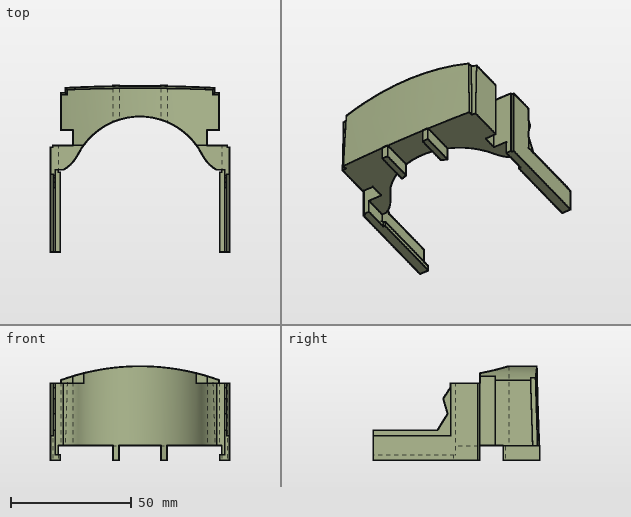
import cadquery as cq
import math

length = 69.2
height = 39.15
half_width = 37.2
body_bottom = 6.1

block_half_width = 32.9
neck_half_width = 27.8
block_front = 50.7
block_back = 66.2
dome_edge_height = 33.35

panel_half_width = 31.1
panel_corner = 68.25
panel_bulge = 0.8
draft_angle = 1.8

wing_back = 44.3
wing_front = 34.1
wing_top = 32.1
wing_notch = (1.0, 0.75)
skirt_inner = 33.9

bore_radius = 28.95
bore_back = 56.25
flare_start = 25.8
flare_end = 31.8

skin_inner = 36.0
web_inner = 35.1
skin_front = 32.2
skin_top = 10.3
web_front = 31.9
web_top = 12.5
web_notches = [(26.65, web_top), (30.9, 19.35), (29.0, 25.6), (web_front, 30.1)]
lip_inner = 33.05
lip_height = 2.4
lip_back = 33.2

foot_inner = 8.6
foot_outer = 11.25
foot_front = block_front


def box(x, y, z):
    """Box spanning the given (low, high) pairs."""
    size = (x[1] - x[0], y[1] - y[0], z[1] - z[0])
    return cq.Workplane("XY").box(*size, centered=False).translate((x[0], y[0], z[0]))


def rear_body():
    rise = height - body_bottom
    lean = rise * math.tan(math.radians(draft_angle))
    block_profile = [
        (block_front, body_bottom),
        (block_back, body_bottom),
        (block_back - lean, height),
        (block_front, height),
    ]
    block = (
        cq.Workplane("YZ").polyline(block_profile).close()
        .extrude(block_half_width, both=True)
    )
    neck = box((-neck_half_width, neck_half_width), (wing_back, block_front), (body_bottom, height))
    panel = (
        cq.Workplane("XY", origin=(0, 0, body_bottom))
        .moveTo(-panel_half_width, block_front)
        .lineTo(panel_half_width, block_front)
        .lineTo(panel_half_width, panel_corner)
        .threePointArc((0, panel_corner + panel_bulge), (-panel_half_width, panel_corner))
        .close()
        .extrude(rise, taper=draft_angle)
    )
    panel = panel.intersect(
        box((-half_width, half_width), ((block_front + block_back) / 2, length), (0, height))
    )
    dome = (
        cq.Workplane("XZ")
        .moveTo(-block_half_width, 0)
        .lineTo(block_half_width, 0)
        .lineTo(block_half_width, dome_edge_height)
        .threePointArc((0, height), (-block_half_width, dome_edge_height))
        .close()
        .extrude(-length)
    )
    return block.union(neck).union(panel).intersect(dome)


def wings():
    body = box((-half_width, half_width), (wing_front, wing_back), (0, wing_top))
    gap = box((-skirt_inner, skirt_inner), (wing_front, wing_back), (0, body_bottom))
    body = body.cut(gap)
    notch_x, notch_y = wing_notch
    for x in (-half_width, half_width - notch_x):
        body = body.cut(box((x, x + notch_x), (wing_back - notch_y, wing_back), (0, wing_top)))
    return body


def bore():
    center_y = bore_back - bore_radius
    flare_y = center_y + math.sqrt(bore_radius**2 - flare_start**2)
    normal_x = -flare_start / bore_radius
    normal_y = (flare_y - center_y) / bore_radius
    chord_x = flare_start - flare_end
    chord_y = wing_front - flare_y
    radius = (chord_x**2 + chord_y**2) / (2 * (chord_x * normal_x + chord_y * normal_y))
    flare_center = (-flare_start + radius * normal_x, flare_y + radius * normal_y)
    start_angle = math.atan2(flare_y - flare_center[1], -flare_start - flare_center[0])
    end_angle = math.atan2(wing_front - flare_center[1], -flare_end - flare_center[0])
    middle = (start_angle + end_angle) / 2
    mid_x = flare_center[0] + radius * math.cos(middle)
    mid_y = flare_center[1] + radius * math.sin(middle)
    return (
        cq.Workplane("XY")
        .moveTo(-flare_end, wing_front)
        .threePointArc((mid_x, mid_y), (-flare_start, flare_y))
        .threePointArc((0, bore_back), (flare_start, flare_y))
        .threePointArc((-mid_x, mid_y), (flare_end, wing_front))
        .close()
        .extrude(height)
    )


def left_arm():
    skin_x = (-half_width, -skin_inner)
    skin = box(skin_x, (0, wing_front), (0, skin_top))
    skin = skin.union(box(skin_x, (skin_front, wing_front), (0, wing_top)))
    web_profile = [
        (wing_front, 0),
        (0, 0),
        (0, web_top),
        *web_notches,
        (web_front, wing_top),
        (wing_front, wing_top),
    ]
    web = (
        cq.Workplane("YZ", origin=(-skin_inner, 0, 0))
        .polyline(web_profile).close().extrude(skin_inner - web_inner)
    )
    lip = box((-web_inner, -lip_inner), (0, lip_back), (0, lip_height))
    lip_root = box((-web_inner, -skirt_inner), (lip_back, wing_front), (0, lip_height))
    return skin.union(web).union(lip).union(lip_root)


def left_foot():
    return box((-foot_outer, -foot_inner), (foot_front, length), (0, body_bottom))


result = rear_body().union(wings())
for side_part in (left_arm(), left_foot()):
    result = result.union(side_part).union(side_part.mirror("YZ"))
result = result.cut(bore())